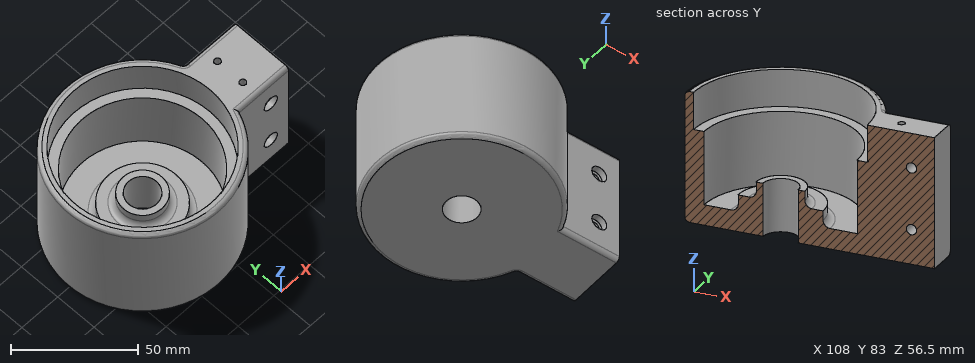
import cadquery as cq

cup_diameter = 83.0
cup_height = 56.5
upper_bore_diameter = 75.0
upper_bore_depth = 16.0
lower_bore_diameter = 66.0
floor_thickness = 9.0

boss_step_height = 7.0
lower_boss_diameter = 36.83
lower_boss_top = floor_thickness + boss_step_height
upper_boss_diameter = 21.15
upper_boss_top = lower_boss_top + boss_step_height
shaft_hole_diameter = 15.15
boss_root_radius = 3.0

arm_end = 66.5
arm_width = 30.0
arm_joint_radius = 2.0

rim_radius = 2.0

screw_hole_diameter = 4.2
counterbore_diameter = 7.3
counterbore_depth = 3.0
screw_end_distance = 10.0
screw_edge_distance = 15.0

pin_hole_diameter = 3.0
pin_hole_depth = 10.0
pin_hole_x = 49.0
pin_hole_spacing = 14.0

selector_margin = 0.1


def make_outer_body():
    """Cup and arm as one solid block with rounded top and bottom edges."""
    cup = cq.Workplane("XY").circle(cup_diameter / 2).extrude(cup_height)
    arm = cq.Workplane("XY").box(arm_end, arm_width, cup_height, centered=(False, True, False))
    body = cup.union(arm)

    joint_x = ((cup_diameter / 2) ** 2 - (arm_width / 2) ** 2) ** 0.5
    joint_region = cq.selectors.BoxSelector(
        (joint_x - selector_margin, arm_width / 2 - selector_margin, 0),
        (joint_x + selector_margin, arm_width / 2 + selector_margin, cup_height),
    )
    body = body.edges("|Z").edges(joint_region).fillet(arm_joint_radius)

    return body.faces("|Z").edges("not |Y").fillet(rim_radius)


def make_cavity():
    """Stepped bore of the cup, open at the top."""
    upper_bore = (
        cq.Workplane("XY")
        .workplane(offset=cup_height - upper_bore_depth)
        .circle(upper_bore_diameter / 2)
        .extrude(upper_bore_depth)
    )
    lower_bore = (
        cq.Workplane("XY")
        .workplane(offset=floor_thickness)
        .circle(lower_bore_diameter / 2)
        .extrude(cup_height - floor_thickness)
    )
    return upper_bore.union(lower_bore)


def make_boss():
    """Two-step boss whose steps flare into the surface below with a concave root radius."""
    lower_radius = lower_boss_diameter / 2
    upper_radius = upper_boss_diameter / 2
    profile = (
        cq.Workplane("XZ")
        .lineTo(lower_radius + boss_root_radius, 0)
        .lineTo(lower_radius + boss_root_radius, floor_thickness)
        .radiusArc((lower_radius, floor_thickness + boss_root_radius), boss_root_radius)
        .lineTo(lower_radius, lower_boss_top)
        .lineTo(upper_radius + boss_root_radius, lower_boss_top)
        .radiusArc((upper_radius, lower_boss_top + boss_root_radius), boss_root_radius)
        .lineTo(upper_radius, upper_boss_top)
        .lineTo(0, upper_boss_top)
        .close()
    )
    return profile.revolve(360, (0, 0, 0), (0, 1, 0))


def make_shaft_hole():
    return cq.Workplane("XY").circle(shaft_hole_diameter / 2).extrude(cup_height)


def make_screw_holes():
    """Counterbored through holes, one above the other."""
    screw_x = arm_end - screw_end_distance
    centers = [
        (screw_x, screw_edge_distance),
        (screw_x, cup_height - screw_edge_distance),
    ]
    front_face = cq.Workplane("XZ", origin=(0, -arm_width / 2, 0)).pushPoints(centers)
    shanks = front_face.circle(screw_hole_diameter / 2).extrude(-arm_width)
    heads = front_face.circle(counterbore_diameter / 2).extrude(-counterbore_depth)
    return shanks.union(heads)


def make_pin_holes():
    return (
        cq.Workplane("XY", origin=(pin_hole_x, 0, cup_height))
        .rarray(1, pin_hole_spacing, 1, 2)
        .circle(pin_hole_diameter / 2)
        .extrude(-pin_hole_depth)
    )


result = (
    make_outer_body()
    .cut(make_cavity())
    .union(make_boss())
    .cut(make_shaft_hole())
    .cut(make_screw_holes())
    .cut(make_pin_holes())
)